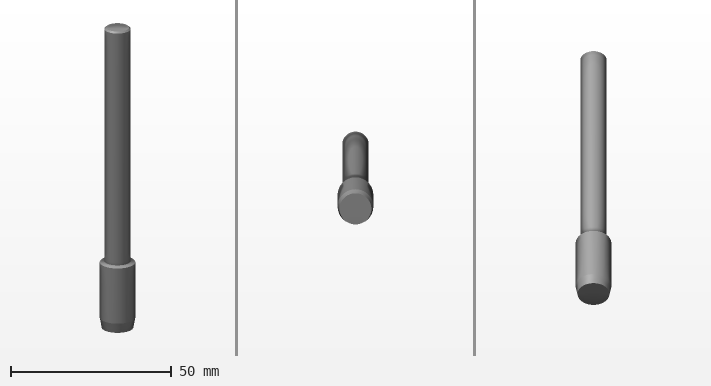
import cadquery as cq

total_length = 100.0
head_length = 22.2

head_diameter = 11.1
head_tip_diameter = 9.9
head_taper_length = 3.3
head_top_rise = 0.5

shank_diameter = 8.2
shank_chamfer = 0.5


def make_head():
    """Solid turned head with a tapered lower end and a shallow cone up to its shank seat."""
    radius = head_diameter / 2
    seat_radius = shank_diameter / 2
    return (
        cq.Workplane("XZ")
        .lineTo(head_tip_diameter / 2, 0)
        .lineTo(radius, head_taper_length)
        .lineTo(radius, head_length - head_top_rise)
        .lineTo(seat_radius, head_length)
        .lineTo(0, head_length)
        .close()
        .revolve(360, (0, 0, 0), (0, 1, 0))
    )


def make_shank():
    """Round shank standing on the flat seat of the head, chamfered at its free end."""
    return (
        cq.Workplane("XY")
        .workplane(offset=head_length)
        .circle(shank_diameter / 2)
        .extrude(total_length - head_length)
        .faces(">Z")
        .chamfer(shank_chamfer)
    )


head = make_head()
shank = make_shank()
result = cq.Compound.makeCompound([head.val(), shank.val()])